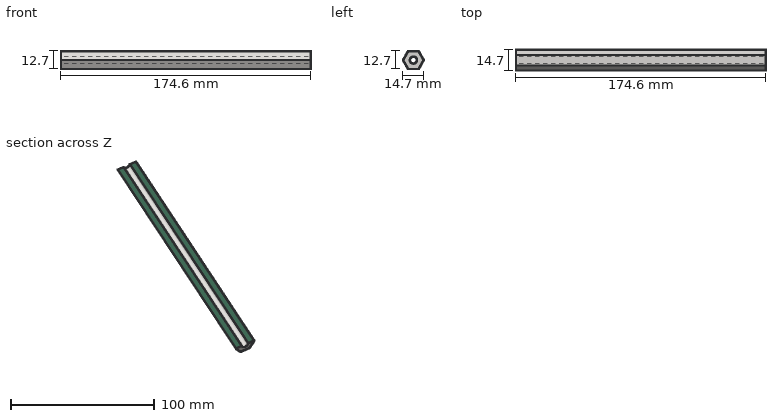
import cadquery as cq
import math

LENGTH = 174.625
SIDES = 6
ACROSS_FLATS = 12.7
BORE_DIAMETER = 4.7625
ROLL_ANGLE = -0.23

across_corners = ACROSS_FLATS / math.cos(math.pi / SIDES)


def make_hex_bar():
    """Hexagonal bar centred on the origin, with two corners pointing nearly along Y."""
    bar = cq.Workplane("YZ").polygon(SIDES, across_corners).extrude(LENGTH / 2, both=True)
    return bar.rotate((0, 0, 0), (1, 0, 0), ROLL_ANGLE)


def make_bore():
    """Cylinder along the bar's axis, as long as the bar."""
    return cq.Workplane("YZ").circle(BORE_DIAMETER / 2).extrude(LENGTH / 2, both=True)


result = make_hex_bar().cut(make_bore())